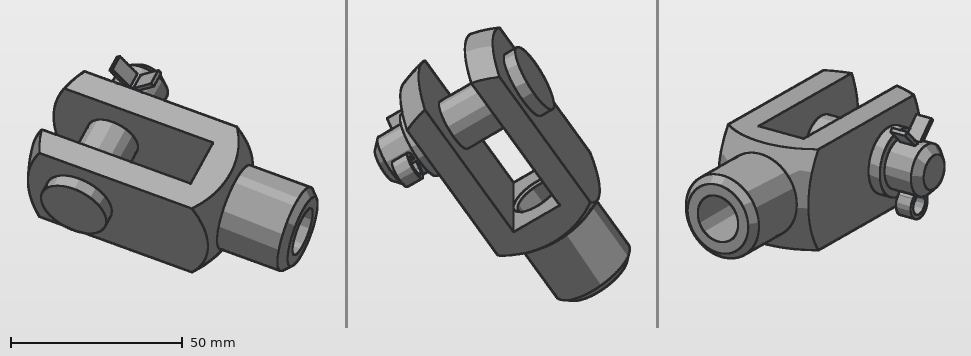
import cadquery as cq
import math

length = 83.0
body_side = 32.0
slot_width = body_side / 2
slot_depth = 50.9
body_end = 61.5
fork_sphere_radius = 40.0
shoulder_sphere_radius = 32.0
envelope_radius = 23.2

shank_diameter = 26.0
shank_chamfer = 2.2
bore_diameter = 14.4
bore_mouth_diameter = 16.0

pin_x = 18.9
pin_diameter = 16.0
pin_tip_y = 32.0
pin_chamfer = 2.65
collar_diameter = 20.8
collar_thickness = 4.0

clip_y = 24.1
clip_width = 5.2
strip_thickness = 1.3
loop_outer_radius = 4.3
leg_tip_z = 13.6

half_side = body_side / 2


def cylinder_x(diameter, start, end):
    return cq.Workplane("YZ").workplane(offset=start).circle(diameter / 2).extrude(end - start)


def cylinder_y(diameter, start, end):
    return cq.Workplane("XZ", origin=(pin_x, start, 0)).circle(diameter / 2).extrude(start - end)


def sphere_reach(sphere_radius, radius):
    """Distance along X from a sphere's center to where it has the given radius about X."""
    return math.sqrt(sphere_radius**2 - radius**2)


def make_envelope():
    """Turned shape, spherical at both ends, that rounds the ends of the square bar."""
    fork_center = sphere_reach(fork_sphere_radius, slot_width / 2)
    shank_radius = shank_diameter / 2
    shoulder_center = body_end - sphere_reach(shoulder_sphere_radius, shank_radius)

    fork_rim_x = fork_center - sphere_reach(fork_sphere_radius, envelope_radius)
    fork_mid_x = fork_center - sphere_reach(fork_sphere_radius, half_side)
    shoulder_rim_x = shoulder_center + sphere_reach(shoulder_sphere_radius, envelope_radius)
    shoulder_mid_x = shoulder_center + sphere_reach(shoulder_sphere_radius, half_side)
    return (
        cq.Workplane("XY")
        .moveTo(fork_center - fork_sphere_radius, 0)
        .threePointArc((fork_mid_x, half_side), (fork_rim_x, envelope_radius))
        .lineTo(shoulder_rim_x, envelope_radius)
        .threePointArc((shoulder_mid_x, half_side), (body_end, shank_radius))
        .lineTo(body_end, 0)
        .close()
        .revolve(360, (0, 0, 0), (1, 0, 0))
    )


def make_body():
    """Square bar with rounded ends and a slot between the fork arms."""
    bar = cq.Workplane("XY").box(body_end, body_side, body_side, centered=(False, True, True))
    slot = cq.Workplane("XY").box(slot_depth, slot_width, body_side, centered=(False, True, True))
    return bar.intersect(make_envelope()).cut(slot)


def make_shank():
    return cylinder_x(shank_diameter, slot_depth, length).faces(">X").chamfer(shank_chamfer)


def make_bore():
    """Through bore with a 45 degree countersink at the slot floor."""
    bore_radius = bore_diameter / 2
    mouth_radius = bore_mouth_diameter / 2
    countersink_end = slot_depth + mouth_radius - bore_radius
    profile = [
        (slot_depth, 0),
        (slot_depth, mouth_radius),
        (countersink_end, bore_radius),
        (length, bore_radius),
        (length, 0),
    ]
    return cq.Workplane("XY").polyline(profile).close().revolve(360, (0, 0, 0), (1, 0, 0))


def make_pin():
    """Round pin with a head on one side of the fork and a washer on the other."""
    head_start = -half_side - collar_thickness
    pin = cylinder_y(pin_diameter, -half_side, pin_tip_y).faces(">Y").chamfer(pin_chamfer)
    head = cylinder_y(collar_diameter, head_start, -half_side)
    washer = cylinder_y(collar_diameter, half_side, half_side + collar_thickness)
    return pin.union(head).union(washer)


def clip_plane():
    return cq.Workplane("XZ", origin=(pin_x, clip_y + clip_width / 2, 0))


def teardrop(radius, center_z):
    """Circle with two 45 degree tangents that meet above it."""
    tangent = radius * math.sqrt(0.5)
    return (
        clip_plane()
        .moveTo(-tangent, center_z + tangent)
        .threePointArc((0, center_z - radius), (tangent, center_z + tangent))
        .lineTo(0, center_z + radius * math.sqrt(2))
        .close()
        .extrude(clip_width)
    )


def make_clip():
    """Teardrop loop below the pin and two legs spread at 45 degrees above it."""
    loop_center_z = -half_side + loop_outer_radius
    loop = teardrop(loop_outer_radius, loop_center_z)
    loop = loop.cut(teardrop(loop_outer_radius - strip_thickness, loop_center_z))

    outer_apex_z = -(loop_center_z + loop_outer_radius * math.sqrt(2))
    inner_apex_z = outer_apex_z + strip_thickness * math.sqrt(2)
    tip_x = leg_tip_z - inner_apex_z
    tip_step = strip_thickness * math.sqrt(0.5)
    legs = (
        clip_plane()
        .moveTo(0, outer_apex_z)
        .lineTo(tip_x + tip_step, leg_tip_z - tip_step)
        .lineTo(tip_x, leg_tip_z)
        .lineTo(0, inner_apex_z)
        .lineTo(-tip_x, leg_tip_z)
        .lineTo(-tip_x - tip_step, leg_tip_z - tip_step)
        .close()
        .extrude(clip_width)
    )
    return loop.union(legs)


fork = make_body().union(make_shank()).cut(make_bore())
result = fork.union(make_pin()).union(make_clip())